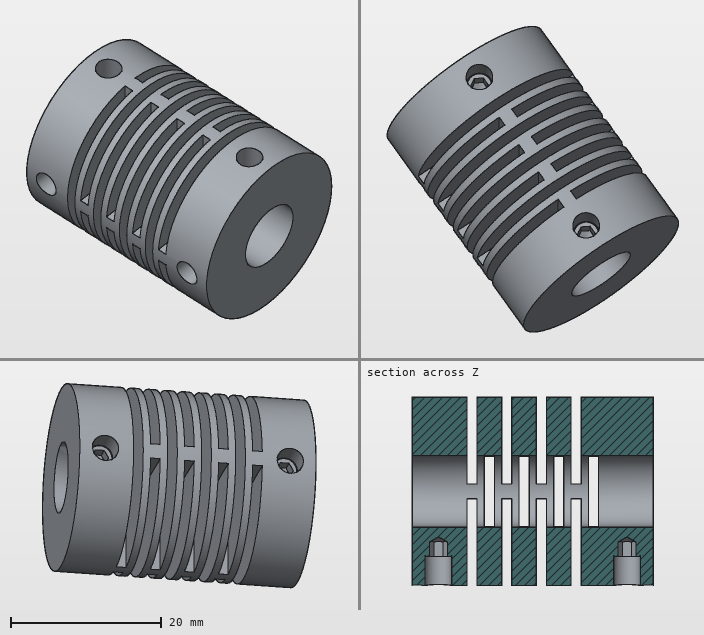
import cadquery as cq
import math

length = 32.0
outer_diameter = 25.0
bore_diameter = 9.47

slot_count = 8
slot_width = 1.3
slot_pitch = 2.3
web_width = 2.0

screw_diameter = 3.52
screw_inset = 3.5
screw_recess = 3.85
screw_chamfer = 0.13
socket_across_flats = 2.05
socket_depth = 1.92
socket_point_angle = 120.0

outer_radius = outer_diameter / 2
screw_head_height = outer_radius - screw_recess
socket_across_corners = socket_across_flats / math.cos(math.radians(30))


def make_body():
    """Bored cylinder centred on the origin, axis along X."""
    return (
        cq.Workplane("YZ")
        .circle(outer_radius)
        .circle(bore_diameter / 2)
        .extrude(length / 2, both=True)
    )


def make_slot_pair(x):
    """Two opposed cuts at x, reaching in from +Y and -Y and leaving two webs on the Z axis."""
    cut_depth = outer_radius - web_width / 2
    offset = (outer_radius + web_width / 2) / 2
    return (
        cq.Workplane("XY")
        .pushPoints([(x, offset), (x, -offset)])
        .box(slot_width, cut_depth, outer_diameter)
    )


def make_screw_recess(x):
    """Empty part of the hole above a +Z set screw at x, down to the foot of the screw's chamfer."""
    foot = cq.Workplane("XY", origin=(x, 0, screw_head_height - screw_chamfer))
    hole = foot.circle(screw_diameter / 2).extrude(screw_recess + screw_chamfer)
    rim = foot.circle(screw_diameter / 2).extrude(screw_chamfer, taper=45)
    return hole.cut(rim)


def make_screw_socket(x):
    """Hex socket in the head of a +Z set screw at x, ending in a cone."""
    corner_radius = socket_across_corners / 2
    point_slope = 1 / math.tan(math.radians(socket_point_angle / 2))
    total_depth = socket_depth + corner_radius * point_slope
    hexagon = (
        cq.Workplane("XY", origin=(x, 0, screw_head_height))
        .polygon(6, socket_across_corners)
        .extrude(-total_depth)
    )
    drill_radius = socket_across_corners
    point_height = drill_radius * point_slope
    top_height = point_height + total_depth
    drill = (
        cq.Workplane("XZ", origin=(x, 0, screw_head_height - total_depth))
        .lineTo(drill_radius, point_height)
        .lineTo(drill_radius, top_height)
        .lineTo(0, top_height)
        .close()
        .revolve(360, (0, 0, 0), (0, 1, 0))
    )
    return hexagon.intersect(drill)


def quarter_turn(shape):
    """Turn a feature about X so that +Z goes to -Y."""
    return shape.rotate((0, 0, 0), (1, 0, 0), 90)


result = make_body()

first_slot_x = -slot_pitch * (slot_count - 1) / 2
for index in range(slot_count):
    slot_pair = make_slot_pair(first_slot_x + index * slot_pitch)
    if index % 2 == 1:
        slot_pair = quarter_turn(slot_pair)
    result = result.cut(slot_pair)

screw_x = length / 2 - screw_inset
for x in (-screw_x, screw_x):
    pocket = make_screw_recess(x).union(make_screw_socket(x))
    result = result.cut(pocket).cut(quarter_turn(pocket))